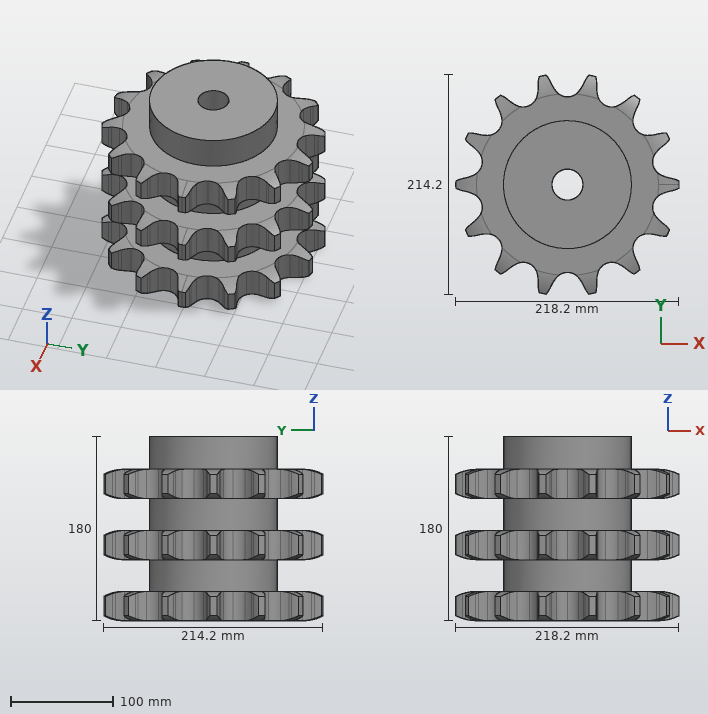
import math

import cadquery as cq


TEETH = 14
PITCH = 44.45
ROLLER_DIAMETER = 27.94
ROWS = 3
ROW_SPACING = 59.6
PLATE_THICKNESS = 28.8
TIP_DIAMETER = 218.2
HUB_DIAMETER = 125.0
BORE_DIAMETER = 30.0
TOTAL_LENGTH = 180.0

RELIEF_START_RADIUS = 88.8
RELIEF_DEPTH = 5.0

SEAT_CLEARANCE_RATIO = 1.005
SEAT_CLEARANCE = 0.0762
TIP_RADIUS = TIP_DIAMETER / 2
PITCH_RADIUS = PITCH / (2 * math.sin(math.pi / TEETH))
SEAT_RADIUS = (SEAT_CLEARANCE_RATIO * ROLLER_DIAMETER + SEAT_CLEARANCE) / 2
WORKING_CENTRE_DISTANCE = 0.8 * ROLLER_DIAMETER
WORKING_RADIUS = WORKING_CENTRE_DISTANCE + SEAT_RADIUS
TOPPING_CENTRE_DISTANCE = 1.4 * ROLLER_DIAMETER

TOOTH_ANGLE = 360.0 / TEETH
SEAT_END_ANGLE = 35.0 + 60.0 / TEETH
WORKING_SWEEP = 18.0 - 56.0 / TEETH

AXIS = (0.0, 0.0)


def polar(centre, radius, degrees):
    """Point at a distance and direction from a centre."""
    angle = math.radians(degrees)
    return (centre[0] + radius * math.cos(angle), centre[1] + radius * math.sin(angle))


def direction(start, end):
    """Direction in degrees from one point to another."""
    return math.degrees(math.atan2(end[1] - start[1], end[0] - start[0]))


def rotate(point, degrees):
    """Point turned about the sprocket axis."""
    return polar(AXIS, math.hypot(*point), direction(AXIS, point) + degrees)


def mirror(point):
    """Point reflected across the gap's centre line; None stays None."""
    return None if point is None else (-point[0], point[1])


def tip_corner(topping_centre, topping_radius):
    """Point where a topping arc meets the tip circle, on the gap's side."""
    distance = math.hypot(*topping_centre)
    cosine = (distance**2 + TIP_RADIUS**2 - topping_radius**2) / (2 * distance * TIP_RADIUS)
    tip_angle = direction(AXIS, topping_centre) + math.degrees(math.acos(cosine))
    return polar(AXIS, TIP_RADIUS, tip_angle)


def half_gap():
    """Right half of a tooth gap centred on +Y, from its root to the tooth tip.

    Returns the root point and the (midpoint, end) pairs of the segments that follow;
    a midpoint of None marks a straight segment.
    """
    roller = (0.0, PITCH_RADIUS)

    root = polar(roller, SEAT_RADIUS, -90.0)
    seat_mid = polar(roller, SEAT_RADIUS, -(90.0 + SEAT_END_ANGLE) / 2)
    seat_end = polar(roller, SEAT_RADIUS, -SEAT_END_ANGLE)

    working_centre = polar(roller, WORKING_CENTRE_DISTANCE, 180.0 - SEAT_END_ANGLE)
    flank_angle = WORKING_SWEEP - SEAT_END_ANGLE
    working_mid = polar(working_centre, WORKING_RADIUS, flank_angle - WORKING_SWEEP / 2)
    working_end = polar(working_centre, WORKING_RADIUS, flank_angle)

    topping_centre = polar(roller, TOPPING_CENTRE_DISTANCE, -TOOTH_ANGLE / 2)
    offset_x = topping_centre[0] - working_end[0]
    offset_y = topping_centre[1] - working_end[1]
    slope = math.radians(flank_angle + 90.0)
    flank_length = offset_x * math.cos(slope) + offset_y * math.sin(slope)
    flank_end = polar(working_end, flank_length, flank_angle + 90.0)

    topping_radius = math.dist(topping_centre, flank_end)
    tip = tip_corner(topping_centre, topping_radius)
    topping_mid_angle = (direction(topping_centre, flank_end) + direction(topping_centre, tip)) / 2
    topping_mid = polar(topping_centre, topping_radius, topping_mid_angle)

    segments = [
        (seat_mid, seat_end),
        (working_mid, working_end),
        (None, flank_end),
        (topping_mid, tip),
    ]
    return root, segments


def toothed_outline():
    """Closed outline of all the teeth, with one gap centred on +Y."""
    root, right_side = half_gap()

    starts = [root] + [end for _, end in right_side[:-1]]
    left_side = [
        (mirror(mid), mirror(start))
        for (mid, _), start in zip(reversed(right_side), reversed(starts))
    ]
    left_tip = mirror(right_side[-1][1])
    gap = left_side + right_side

    outline = cq.Workplane("XY").moveTo(*left_tip)
    for index in range(TEETH):
        turn = -index * TOOTH_ANGLE
        for mid, end in gap:
            if mid is None:
                outline = outline.lineTo(*rotate(end, turn))
            else:
                outline = outline.threePointArc(rotate(mid, turn), rotate(end, turn))
        land_middle = polar(AXIS, TIP_RADIUS, 90.0 - TOOTH_ANGLE / 2 + turn)
        outline = outline.threePointArc(land_middle, rotate(left_tip, turn - TOOTH_ANGLE))
    return outline.close()


def relieved_disc():
    """Disc whose faces curve inwards beyond the relief start radius."""
    run = TIP_RADIUS - RELIEF_START_RADIUS
    arc_radius = (run**2 + RELIEF_DEPTH**2) / (2 * RELIEF_DEPTH)
    half_sweep = math.asin(run / arc_radius) / 2
    mid_radius = RELIEF_START_RADIUS + arc_radius * math.sin(half_sweep)
    mid_depth = arc_radius * (1 - math.cos(half_sweep))
    return (
        cq.Workplane("XZ")
        .lineTo(RELIEF_START_RADIUS, 0.0)
        .threePointArc((mid_radius, mid_depth), (TIP_RADIUS, RELIEF_DEPTH))
        .lineTo(TIP_RADIUS, PLATE_THICKNESS - RELIEF_DEPTH)
        .threePointArc((mid_radius, PLATE_THICKNESS - mid_depth), (RELIEF_START_RADIUS, PLATE_THICKNESS))
        .lineTo(0.0, PLATE_THICKNESS)
        .close()
        .revolve(360.0, (0.0, 0.0), (0.0, 1.0))
    )


def toothed_plate():
    """One sprocket row, resting on Z = 0."""
    blank = toothed_outline().extrude(PLATE_THICKNESS, clean=False)
    return blank.intersect(relieved_disc(), clean=False)


def sprocket():
    """Rows of teeth on a common hub, with a bore right through."""
    body = cq.Workplane("XY").circle(HUB_DIAMETER / 2).extrude(TOTAL_LENGTH)
    plate = toothed_plate()
    for row in range(ROWS):
        body = body.union(plate.translate((0.0, 0.0, row * ROW_SPACING)), clean=False)
    bore = cq.Workplane("XY").circle(BORE_DIAMETER / 2).extrude(TOTAL_LENGTH)
    return body.cut(bore, clean=False)


result = sprocket()